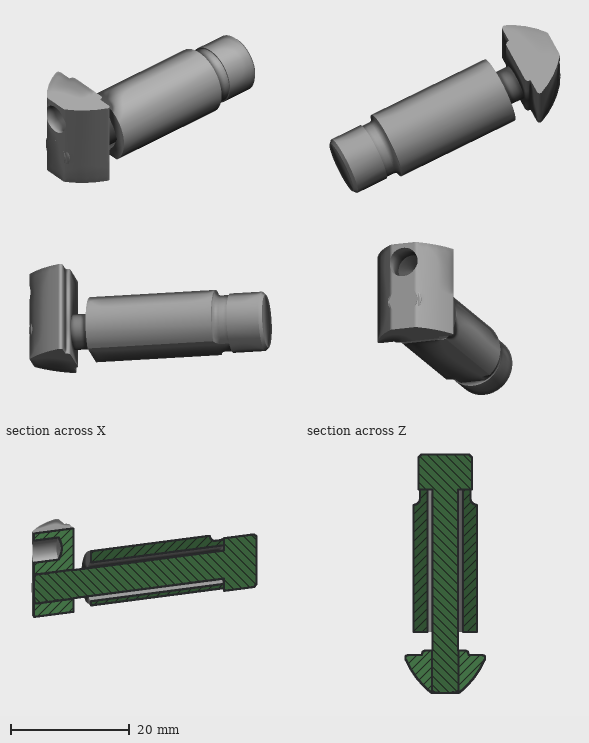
import cadquery as cq
import math

cut_overrun = 0.4

nut_height = 15.0
nut_depth = 7.25
nut_shoulder_y = 6.47
nut_tip_half_width = 2.2
nut_flank_mid_x = 5.43
nut_flank_mid_y = 3.4
nut_corner_half_width = 7.0
nut_corner_radius = 0.5
nut_tip_radius = 0.8
boss_top_half_width = 3.8
boss_base_half_width = 3.98
boss_corner_radius = 0.6
blind_hole_diameter = 5.0
blind_hole_depth = 6.0
drill_point_angle = 118.0
screw_axis_z = 5.0
blind_hole_z = 11.7

screw_length = 40.2
shank_diameter = 6.0
tip_diameter = 4.9
tip_length = 0.25
shank_chamfer = 0.2
head_diameter = 10.0
head_length = 6.0
head_chamfer = 0.52
head_start_y = screw_length - head_length

sleeve_start_y = 10.25
sleeve_diameter = 11.5
sleeve_height = 10.0
sleeve_bore_diameter = 7.2
bore_hexagon_corner_diameter = 7.88
neck_diameter = 9.53
neck_length = 1.5
neck_fillet = (sleeve_diameter - neck_diameter) / 2
neck_start_y = head_start_y - neck_length
sleeve_flat_z = screw_axis_z + sleeve_diameter / 2 - sleeve_height


def revolve_about_screw_axis(profile):
    """Turn an X-Y profile (x = radius) about the screw axis."""
    solid = profile.close().revolve(360, (0, 0, 0), (0, 1, 0))
    return solid.translate((0, 0, screw_axis_z))


def make_screw():
    """Chamfered shank with a short narrow tip and a cylindrical head at its far end."""
    shank_radius = shank_diameter / 2
    tip_radius = tip_diameter / 2
    head_radius = head_diameter / 2
    profile = (
        cq.Workplane("XY")
        .lineTo(tip_radius, 0)
        .lineTo(tip_radius, tip_length)
        .lineTo(shank_radius - shank_chamfer, tip_length)
        .lineTo(shank_radius, tip_length + shank_chamfer)
        .lineTo(shank_radius, head_start_y)
        .lineTo(head_radius, head_start_y)
        .lineTo(head_radius, screw_length - head_chamfer)
        .lineTo(head_radius - head_chamfer, screw_length)
        .lineTo(0, screw_length)
    )
    return revolve_about_screw_axis(profile)


def make_sleeve():
    """Sleeve with a bore whose six hexagon corners break into the wall, a neck and a flat underside."""
    outer_radius = sleeve_diameter / 2
    bore_radius = sleeve_bore_diameter / 2
    neck_radius = neck_diameter / 2
    profile = (
        cq.Workplane("XY")
        .moveTo(bore_radius, sleeve_start_y)
        .lineTo(outer_radius, sleeve_start_y)
        .lineTo(outer_radius, neck_start_y - neck_fillet)
        .radiusArc((neck_radius, neck_start_y), neck_fillet)
        .lineTo(neck_radius, head_start_y)
        .lineTo(bore_radius, head_start_y)
    )
    body = revolve_about_screw_axis(profile)
    keep = cq.Workplane("XY", origin=(0, 0, sleeve_flat_z)).rect(
        sleeve_diameter + cut_overrun, 2 * screw_length
    )
    body = body.intersect(keep.extrude(sleeve_height + cut_overrun))
    hexagon = cq.Workplane("XZ", origin=(0, sleeve_start_y, screw_axis_z)).polygon(
        6, bore_hexagon_corner_diameter
    )
    return body.cut(hexagon.extrude(sleeve_start_y - head_start_y))


def make_nut_block():
    """T-nut outline with curved flanks and a raised boss, extruded along Z."""
    block = (
        cq.Workplane("XY")
        .moveTo(-nut_tip_half_width, 0)
        .lineTo(nut_tip_half_width, 0)
        .threePointArc((nut_flank_mid_x, nut_flank_mid_y), (nut_corner_half_width, nut_shoulder_y))
        .lineTo(boss_base_half_width, nut_shoulder_y)
        .lineTo(boss_top_half_width, nut_depth)
        .lineTo(-boss_top_half_width, nut_depth)
        .lineTo(-boss_base_half_width, nut_shoulder_y)
        .lineTo(-nut_corner_half_width, nut_shoulder_y)
        .threePointArc((-nut_flank_mid_x, nut_flank_mid_y), (-nut_tip_half_width, 0))
        .close()
        .extrude(nut_height)
    )
    for side in (-1, 1):
        for x, y, radius in (
            (nut_tip_half_width, 0, nut_tip_radius),
            (nut_corner_half_width, nut_shoulder_y, nut_corner_radius),
            (boss_top_half_width, nut_depth, boss_corner_radius),
        ):
            corner = cq.selectors.NearestToPointSelector((side * x, y, nut_height / 2))
            block = block.edges("|Z").edges(corner).fillet(radius)
    return block


def make_blind_hole():
    """Drilled hole with a conical bottom, opening at the narrow face."""
    radius = blind_hole_diameter / 2
    cone_depth = radius / math.tan(math.radians(drill_point_angle / 2))
    profile = (
        cq.Workplane("XY")
        .lineTo(radius, 0)
        .lineTo(radius, blind_hole_depth - cone_depth)
        .lineTo(0, blind_hole_depth)
        .close()
    )
    drill = profile.revolve(360, (0, 0, 0), (0, 1, 0))
    return drill.translate((0, 0, blind_hole_z))


def make_nut(screw):
    """T-nut with a hole that fits the screw and a blind hole above it."""
    return make_nut_block().cut(make_blind_hole()).cut(screw)


screw = make_screw()
sleeve = make_sleeve()
nut = make_nut(screw)

result = cq.Compound.makeCompound([nut.val(), screw.val(), sleeve.val()])